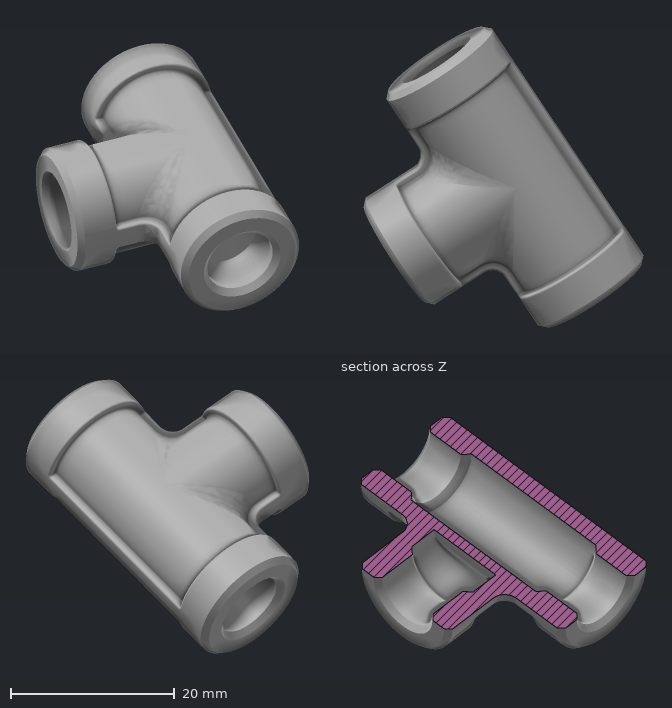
import cadquery as cq

run_length = 35.0
reach = run_length / 2

collar_radius = 15.5 / 2
tube_radius = 6.8
collar_length = 5.0
shoulder = reach - collar_length
end_chamfer = 0.75
overlap = 0.35

rib_width = 3.0
rib_side = rib_width / 2
rib_crotch_radius = 2.0
tube_crotch_radius = collar_radius + rib_crotch_radius - tube_radius
edge_radius = 0.3

socket_radius = 8.58 / 2
mouth_chamfer = end_chamfer
chamber_radius = 10.5 / 2
chamber_start = 11.5
chamber_taper = 0.88

slab_tolerance = 0.005


def tee(radius, length):
    """Solid run along X with one branch towards -Y, all arms of equal radius and length."""
    run = cq.Workplane("YZ").circle(radius).extrude(length, both=True)
    branch = cq.Workplane("XZ").circle(radius).extrude(length)
    return run.union(branch)


def rounded_tee(radius, length, crotch_radius):
    """Tee whose two crotches are blended with a fillet."""
    return tee(radius, length).edges("%ELLIPSE").fillet(crotch_radius)


def pocket(side):
    """Space between the collars, above (side = 1) or below (side = -1) the ribs."""
    depth = 2 * collar_radius
    return (
        cq.Workplane("XY")
        .box(2 * shoulder, shoulder + depth, depth, centered=(True, False, False))
        .translate((0, -shoulder, rib_side if side > 0 else -rib_side - depth))
    )


def edges_in_plane(body, axis, offset):
    """Edges of the body lying wholly in the plane at the given offset along an axis."""
    low = [-run_length] * 3
    high = [run_length] * 3
    low[axis] = offset - slab_tolerance
    high[axis] = offset + slab_tolerance
    return body.edges(cq.selectors.BoxSelector(low, high, boundingbox=True))


def arm_passage(angle):
    """Passage from the centre of the tee to one end, its arm turned about Z by an angle from +X."""
    return (
        cq.Workplane("XY")
        .lineTo(0, chamber_radius)
        .lineTo(chamber_start - chamber_taper, chamber_radius)
        .lineTo(chamber_start, socket_radius)
        .lineTo(reach - mouth_chamfer, socket_radius)
        .lineTo(reach, socket_radius + mouth_chamfer)
        .lineTo(reach, 0)
        .close()
        .revolve(360, (0, 0, 0), (1, 0, 0))
        .rotate((0, 0, 0), (0, 0, 1), angle)
    )


body = rounded_tee(collar_radius, reach, rib_crotch_radius)
for side in (1, -1):
    body = body.cut(pocket(side))
body = body.union(rounded_tee(tube_radius, shoulder + overlap, tube_crotch_radius))

relief_edges = (
    edges_in_plane(body, 0, shoulder)
    .add(edges_in_plane(body, 0, -shoulder))
    .add(edges_in_plane(body, 1, -shoulder))
    .add(edges_in_plane(body, 2, rib_side))
    .add(edges_in_plane(body, 2, -rib_side))
)
body = relief_edges.fillet(edge_radius)

body = body.faces("<X or >X or <Y").edges().chamfer(end_chamfer)

run_wall = cq.Workplane("YZ").circle(tube_radius).extrude(shoulder, both=True)
run_passage = arm_passage(0).union(arm_passage(180))
branch_passage = arm_passage(-90).cut(run_wall)
body = body.cut(run_passage).cut(branch_passage)

result = body